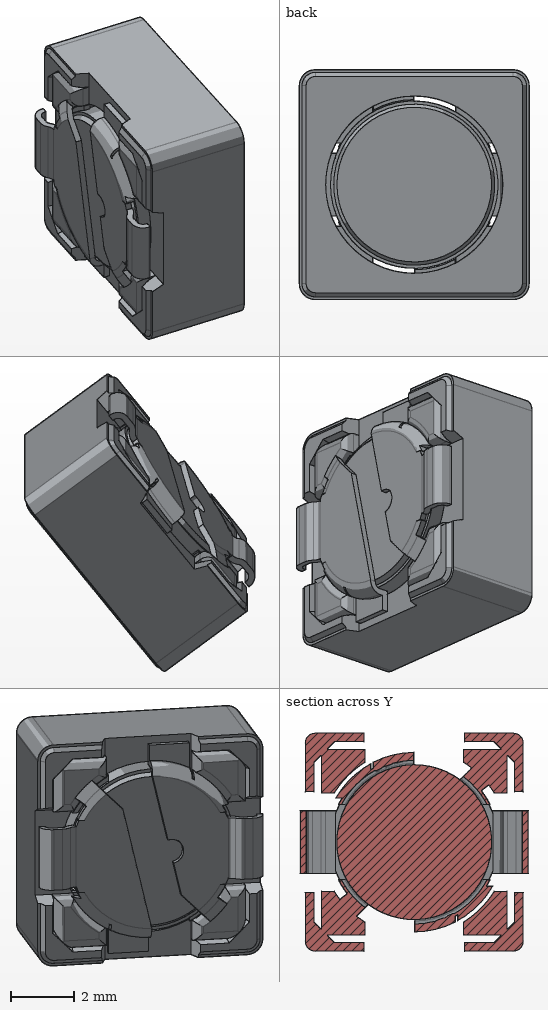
import cadquery as cq
import math

OVERSIZE = 4.38

SHIELD_SIDE = 7.3
SHIELD_CORNER_RADIUS = 0.51
SHIELD_FRONT = 0.39
SHIELD_BACK = 3.9
WALL_FRONT = 0.51
WALL_BACK = 3.81
EDGE_LEDGE = 0.09
EDGE_BEVEL = 0.13
BORE_RADIUS = 2.81

NOTCH_FLOOR = 0.905
NOTCH_FLOOR_HALF = 1.395
NOTCH_MOUTH_HALF = 1.605

POCKET_OUTER = 3.19
POCKET_CORNER_CUT = 0.66
POCKET_DRAFT = 0.08
POCKET_DEPTH = 0.25
PAD_ROUND = 0.3
SHELF_START = 1.315

CORE_RADIUS = 2.66
CORE_BACK = 4.05
CORE_LEDGE = 0.1
CORE_FACE_RADIUS = 2.45
CORE_BACK_BEVEL = 0.09
CORE_FRONT_BEVEL = 0.15

SHEET = 0.2
BEND_RADIUS = 2 * SHEET
LEAD_HALF_WIDTH = 1.0
LEAD_FLAT_INNER = 2.96
LEAD_FLAT_OUTER = 3.23
LEAD_NECK_RADIUS = 0.3
LEAD_TIP = 0.445
BEND_START_RADIUS = 2.505
BEND_END_HEIGHT = 1.19
BEND_SLIT_RADIUS = 2.69
TAB_START = 0.015
TAB_END = 1.31
TAB_TOP = 3.4
SLIT_WIDTH = 0.07
TERMINAL_KNEE = (0.95, -1.475)
MARK_RADIUS = 0.395
MARK_X = 0.62
LIP_CREST_RADIUS = 2.76
LIP_CREST_DROP = 0.06
LIP_END_RADIUS = 3.11
LIP_END_ANGLE = 37.5

COS45 = math.cos(math.radians(45))
PLATE_FRONT = (BEND_RADIUS + LEAD_NECK_RADIUS) * (1 - COS45)
PLATE_BACK = PLATE_FRONT + SHEET


def sketch_at(y):
    """Workplane facing the front at depth y; its axes are X and Z."""
    return cq.Workplane("XZ", origin=(0, y, 0))


def box(x, y, z):
    """Box spanning the given (start, end) pairs."""
    size = [end - start for start, end in (x, y, z)]
    return cq.Workplane("XY").box(*size, centered=False).translate((x[0], y[0], z[0]))


def disc(radius, start, end):
    return sketch_at(start).circle(radius).extrude(start - end)


def revolved(outline):
    """Revolve a closed (radius, y) outline about the Y axis."""
    return outline.close().revolve(360, (0, 0), (0, 1))


def turned(shape, angle):
    return shape.rotate((0, 0, 0), (0, 1, 0), angle)


def rounded_square(y, inset):
    side = SHIELD_SIDE - 2 * inset
    radius = SHIELD_CORNER_RADIUS - inset
    return sketch_at(y).sketch().rect(side, side).vertices().fillet(radius).finalize()


def beveled_end(start, end):
    """Tapered cap from the ledge at the end of the side walls to the end face."""
    taper = math.degrees(math.atan(EDGE_BEVEL / abs(end - start)))
    return rounded_square(start, EDGE_LEDGE).extrude(start - end, taper=taper)


def notch():
    """Trapezoidal channel across the shield front, running along Z."""
    return (
        cq.Workplane("XY", origin=(0, 0, -OVERSIZE))
        .polyline([
            (-NOTCH_FLOOR_HALF, NOTCH_FLOOR),
            (NOTCH_FLOOR_HALF, NOTCH_FLOOR),
            (NOTCH_MOUTH_HALF, SHIELD_FRONT),
            (-NOTCH_MOUTH_HALF, SHIELD_FRONT),
        ])
        .close()
        .extrude(2 * OVERSIZE)
    )


def corner_pocket():
    inner = NOTCH_FLOOR_HALF - 2 * POCKET_DRAFT
    cut_start = POCKET_OUTER - POCKET_CORNER_CUT
    taper = math.degrees(math.atan(POCKET_DRAFT / POCKET_DEPTH))
    return (
        sketch_at(SHIELD_FRONT)
        .polyline([
            (inner, inner),
            (POCKET_OUTER, inner),
            (POCKET_OUTER, cut_start),
            (cut_start, POCKET_OUTER),
            (inner, POCKET_OUTER),
        ])
        .close()
        .extrude(-POCKET_DEPTH, taper=taper)
    )


def corner_pad():
    span = (NOTCH_FLOOR_HALF, POCKET_OUTER - POCKET_DRAFT)
    block = box(span, (SHIELD_FRONT, NOTCH_FLOOR), span)
    block = block.cut(disc(BORE_RADIUS, 0, NOTCH_FLOOR))
    return block.faces("<Y").edges().fillet(PAD_ROUND)


def corner_shelf():
    """Ledge at the foot of the pad that closes the gap to the core."""
    depth = (SHIELD_FRONT + PAD_ROUND, NOTCH_FLOOR)
    ring = disc(BORE_RADIUS, *depth).cut(disc(CORE_RADIUS, *depth))
    return ring.intersect(box((SHELF_START, OVERSIZE), depth, (SHELF_START, OVERSIZE)))


def shield():
    body = rounded_square(WALL_FRONT, 0).extrude(WALL_FRONT - WALL_BACK)
    body = body.union(beveled_end(WALL_FRONT, SHIELD_FRONT))
    body = body.union(beveled_end(WALL_BACK, SHIELD_BACK))
    body = body.cut(disc(BORE_RADIUS, 0, SHIELD_BACK))
    for angle in (0, 90):
        body = body.cut(turned(notch(), angle))
    for angle in (0, 90, 180, 270):
        body = body.cut(turned(corner_pocket(), angle))
        body = body.union(turned(corner_pad(), angle))
        body = body.union(turned(corner_shelf(), angle))
    return body


def core():
    ledge_radius = CORE_RADIUS - CORE_LEDGE
    return revolved(
        cq.Workplane("XY").polyline([
            (0, PLATE_BACK),
            (CORE_FACE_RADIUS, PLATE_BACK),
            (ledge_radius, PLATE_BACK + CORE_FRONT_BEVEL),
            (CORE_RADIUS, PLATE_BACK + CORE_FRONT_BEVEL),
            (CORE_RADIUS, CORE_BACK - CORE_BACK_BEVEL),
            (ledge_radius, CORE_BACK - CORE_BACK_BEVEL),
            (CORE_FACE_RADIUS, CORE_BACK),
            (0, CORE_BACK),
        ])
    )


def terminal_area():
    """Region of the front face that belongs to the +X terminal."""
    knee_x, knee_z = TERMINAL_KNEE
    return (
        sketch_at(0)
        .polyline([
            (TAB_START, OVERSIZE),
            (TAB_START, BEND_START_RADIUS),
            (knee_x, knee_z),
            (knee_x + OVERSIZE, knee_z - OVERSIZE),
            (knee_x + OVERSIZE, OVERSIZE),
        ])
        .close()
        .extrude(-NOTCH_FLOOR)
    )


def plate():
    """Flat sheet, widened to the core edge beside the lead."""
    levels = (PLATE_FRONT, PLATE_BACK)
    middle = box((0, BEND_START_RADIUS), levels, (-BEND_END_HEIGHT, BEND_END_HEIGHT))
    middle = middle.intersect(disc(CORE_RADIUS, *levels))
    return disc(BEND_START_RADIUS, *levels).union(middle)


def bend():
    """Quarter-round rim over the pad, with the mounting tab at its TAB_START end."""
    outer_radius = BEND_START_RADIUS + BEND_RADIUS
    wall_radius = outer_radius - SHEET
    bend_end = PLATE_FRONT + BEND_RADIUS
    outer_diagonal = BEND_RADIUS * COS45
    inner_diagonal = (BEND_RADIUS - SHEET) * COS45
    rim = revolved(
        cq.Workplane("XY")
        .moveTo(BEND_START_RADIUS, PLATE_FRONT)
        .threePointArc(
            (BEND_START_RADIUS + outer_diagonal, bend_end - outer_diagonal),
            (outer_radius, bend_end),
        )
        .lineTo(wall_radius, bend_end)
        .threePointArc(
            (BEND_START_RADIUS + inner_diagonal, bend_end - inner_diagonal),
            (BEND_START_RADIUS, PLATE_BACK),
        )
    )
    depth = (0, NOTCH_FLOOR)
    rim = rim.intersect(box((0, OVERSIZE), depth, (BEND_END_HEIGHT, OVERSIZE)))
    slit = box((TAB_END, TAB_END + SLIT_WIDTH), depth, (0, OVERSIZE))
    end_relief = box((0, OVERSIZE), depth, (0, NOTCH_FLOOR_HALF))
    rim = rim.cut(slit.union(end_relief).cut(disc(BEND_SLIT_RADIUS, *depth)))

    tab_width = (TAB_START, TAB_END)
    wall = disc(outer_radius, bend_end, NOTCH_FLOOR).intersect(box(tab_width, depth, (0, OVERSIZE)))
    tab = box(tab_width, (NOTCH_FLOOR - SHEET, NOTCH_FLOOR), (0, TAB_TOP))
    foot = wall.union(tab).cut(disc(wall_radius, *depth))
    return rim.union(foot)


def lip():
    """Shallow sloping rim at the lower end of the terminal, resting on the pad."""
    crest = PLATE_FRONT + LIP_CREST_DROP
    end = SHIELD_FRONT
    rim = revolved(
        cq.Workplane("XY").polyline([
            (BEND_START_RADIUS, PLATE_FRONT),
            (LIP_CREST_RADIUS, crest),
            (LIP_END_RADIUS, end),
            (LIP_END_RADIUS, end + SHEET),
            (LIP_CREST_RADIUS, crest + SHEET),
            (BEND_START_RADIUS, PLATE_BACK),
        ])
    )
    depth = (0, NOTCH_FLOOR)
    rim = rim.intersect(box((0, OVERSIZE), depth, (-OVERSIZE, -BEND_END_HEIGHT)))
    end_relief = turned(box((0, OVERSIZE), depth, (0, OVERSIZE)), LIP_END_ANGLE)
    return rim.cut(end_relief.cut(disc(BEND_SLIT_RADIUS, *depth)))


def lead():
    """Strip stepping forward from the plate to the mounting plane and curling back."""
    inner_radius = BEND_RADIUS - SHEET
    neck_back_radius = LEAD_NECK_RADIUS + SHEET
    neck_x = LEAD_FLAT_INNER - (BEND_RADIUS + LEAD_NECK_RADIUS) * COS45
    neck_y = PLATE_FRONT - LEAD_NECK_RADIUS

    def around_flat(center_x, radius, degrees):
        angle = math.radians(degrees)
        return (center_x + radius * math.cos(angle), BEND_RADIUS + radius * math.sin(angle))

    def around_neck(radius, degrees):
        angle = math.radians(degrees)
        return (neck_x + radius * math.cos(angle), neck_y + radius * math.sin(angle))

    return (
        cq.Workplane("XY", origin=(0, 0, -LEAD_HALF_WIDTH))
        .moveTo(neck_x, PLATE_FRONT)
        .threePointArc(around_neck(LEAD_NECK_RADIUS, 67.5), around_neck(LEAD_NECK_RADIUS, 45))
        .threePointArc(around_flat(LEAD_FLAT_INNER, BEND_RADIUS, -112.5), (LEAD_FLAT_INNER, 0))
        .lineTo(LEAD_FLAT_OUTER, 0)
        .threePointArc(
            around_flat(LEAD_FLAT_OUTER, BEND_RADIUS, -45),
            around_flat(LEAD_FLAT_OUTER, BEND_RADIUS, 0),
        )
        .lineTo(LEAD_FLAT_OUTER + BEND_RADIUS, LEAD_TIP)
        .lineTo(LEAD_FLAT_OUTER + inner_radius, LEAD_TIP)
        .lineTo(LEAD_FLAT_OUTER + inner_radius, BEND_RADIUS)
        .threePointArc(
            around_flat(LEAD_FLAT_OUTER, inner_radius, -45),
            (LEAD_FLAT_OUTER, SHEET),
        )
        .lineTo(LEAD_FLAT_INNER, SHEET)
        .threePointArc(
            around_flat(LEAD_FLAT_INNER, inner_radius, -112.5),
            around_flat(LEAD_FLAT_INNER, inner_radius, -135),
        )
        .threePointArc(around_neck(neck_back_radius, 67.5), (neck_x, PLATE_BACK))
        .close()
        .extrude(2 * LEAD_HALF_WIDTH)
    )


def terminal():
    sheet = plate().union(bend()).union(lip()).intersect(terminal_area())
    return sheet.union(lead())


polarity_mark = disc(MARK_RADIUS, PLATE_FRONT, PLATE_BACK).translate((MARK_X, 0, 0))

result = (
    shield()
    .union(core())
    .union(terminal().cut(polarity_mark))
    .union(turned(terminal(), 180))
)